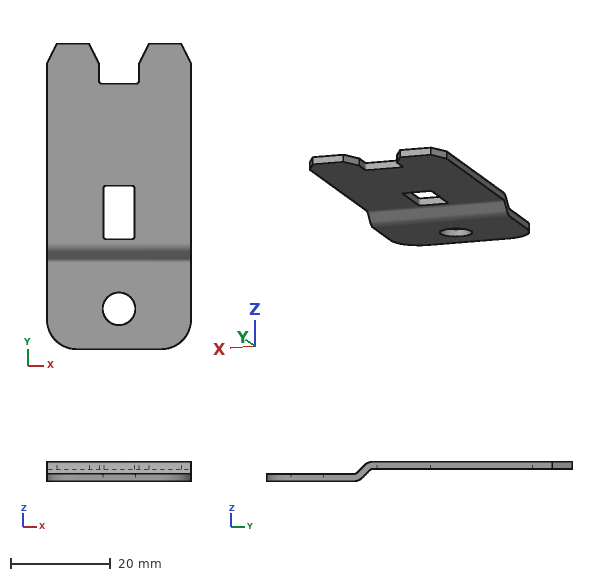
import cadquery as cq
import math

width = 29.0
length = 61.38
height = 4.0
thickness = 1.5
step = height - thickness

bend_angle = math.radians(45)
inner_radius = 1.0
outer_radius = inner_radius + thickness
upper_flat_length = 40.0

corner_radius = 6.0
hole_diameter = 6.5
hole_end_distance = 8.13

notch_width = 8.0
notch_depth = 8.0
taper_width = 2.0
taper_length = 4.0
notch_corner_radius = 0.5

window_width = 6.2
window_length = 10.7
window_bend_distance = 0.75
window_corner_radius = 0.5

upper_bend_y = length - upper_flat_length
bend_radius_sum = inner_radius + outer_radius
ramp_rise = step - bend_radius_sum * (1 - math.cos(bend_angle))
ramp_run = ramp_rise / math.tan(bend_angle)
lower_bend_y = upper_bend_y - bend_radius_sum * math.sin(bend_angle) - ramp_run
notch_floor_y = length - notch_depth
taper_start_y = length - taper_length
window_center_y = upper_bend_y + window_bend_distance + window_length / 2


def arc_point(center_y, center_z, radius, angle):
    """Point on a bend arc; the angle is measured from straight up, turning toward -Y."""
    return (center_y - radius * math.sin(angle), center_z + radius * math.cos(angle))


def bent_sheet():
    """Side profile of the joggled sheet, extruded symmetrically across the width."""
    half = bend_angle / 2
    upper_center = (upper_bend_y, height - outer_radius)
    lower_center = (lower_bend_y, outer_radius)
    profile = (
        cq.Workplane("YZ")
        .moveTo(0, 0)
        .lineTo(lower_bend_y, 0)
        .threePointArc(
            arc_point(*lower_center, outer_radius, math.pi + half),
            arc_point(*lower_center, outer_radius, math.pi + bend_angle),
        )
        .lineTo(*arc_point(*upper_center, inner_radius, bend_angle))
        .threePointArc(
            arc_point(*upper_center, inner_radius, half),
            arc_point(*upper_center, inner_radius, 0),
        )
        .lineTo(length, step)
        .lineTo(length, height)
        .lineTo(upper_bend_y, height)
        .threePointArc(
            arc_point(*upper_center, outer_radius, half),
            arc_point(*upper_center, outer_radius, bend_angle),
        )
        .lineTo(*arc_point(*lower_center, inner_radius, math.pi + bend_angle))
        .threePointArc(
            arc_point(*lower_center, inner_radius, math.pi + half),
            arc_point(*lower_center, inner_radius, math.pi),
        )
        .lineTo(0, thickness)
        .close()
    )
    return profile.extrude(width / 2, both=True)


def rounded_block(block_width, block_length, center_y, radius):
    """Full-height cutter with rounded vertical edges, centred on X = 0."""
    block = cq.Workplane("XY").center(0, center_y).rect(block_width, block_length)
    return block.extrude(height).edges("|Z").fillet(radius)


def outline_block():
    """Full-height block with the plan outline: rounded lower end, forked upper end."""
    side_x = width / 2
    notch_x = notch_width / 2
    points = [
        (-side_x, 0),
        (side_x, 0),
        (side_x, taper_start_y),
        (side_x - taper_width, length),
        (notch_x + taper_width, length),
        (notch_x, taper_start_y),
        (notch_x, notch_floor_y),
        (-notch_x, notch_floor_y),
        (-notch_x, taper_start_y),
        (-notch_x - taper_width, length),
        (-side_x + taper_width, length),
        (-side_x, taper_start_y),
    ]
    block = cq.Workplane("XY").polyline(points).close().extrude(height)
    block = block.faces("<Y").edges("|Z").fillet(corner_radius)
    notch_corners = [(-notch_x, notch_floor_y, height / 2), (notch_x, notch_floor_y, height / 2)]
    for corner in notch_corners:
        block = block.edges(cq.selectors.NearestToPointSelector(corner)).fillet(notch_corner_radius)
    return block


def screw_hole():
    """Full-height cylinder for the hole in the lower flat."""
    return cq.Workplane("XY").center(0, hole_end_distance).circle(hole_diameter / 2).extrude(height)


window = rounded_block(window_width, window_length, window_center_y, window_corner_radius)
result = bent_sheet().intersect(outline_block()).cut(window).cut(screw_hole())